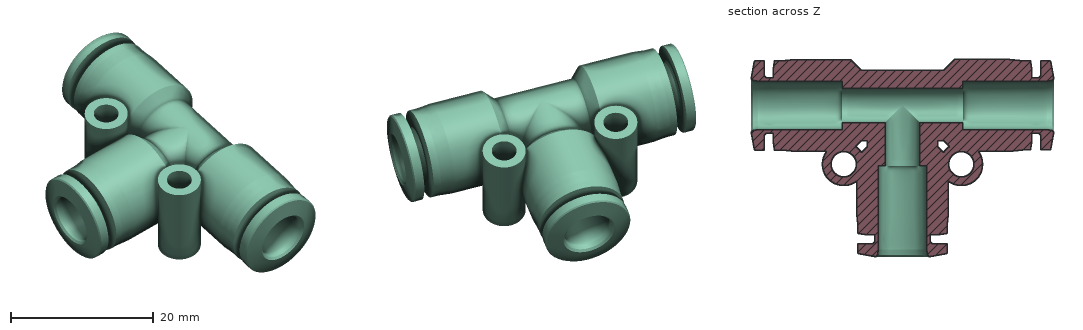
import cadquery as cq

port_reach = 21.3
body_radius = 6.495
core_radius = 5.0

shoulder_start = 5.8
shoulder_end = shoulder_start + body_radius - core_radius
taper_start = 15.0
taper_end = 16.95
body_rim_end = 18.0
body_end = 18.25
body_end_radius = 6.3
body_end_flat_radius = 4.95

collar_neck_radius = 3.95
collar_back = 19.43
collar_neck_chamfer = 0.25
collar_radius = 6.3
collar_rim_end = 20.87
collar_edge_setback = 0.15

flow_radius = 2.405
socket_radius = 3.35
socket_depth = 12.8
lead_in_radius = 3.5
lead_in_depth = 1.02
mouth_radius = 3.8

post_offset = 8.25
post_radius = 3.02
post_hole_radius = 1.75


def revolve_about_port_axis(profile):
    """Revolve (radius, distance) points about the axis of the port facing -Y."""
    points = [(radius, -distance) for radius, distance in profile]
    return cq.Workplane("XY").polyline(points).close().revolve(360, (0, 0, 0), (0, 1, 0))


def make_port():
    return revolve_about_port_axis([
        (0, 0),
        (core_radius, 0),
        (core_radius, shoulder_start),
        (body_radius, shoulder_end),
        (body_radius, taper_start),
        (body_end_radius, taper_end),
        (body_end_radius, body_rim_end),
        (body_end_flat_radius, body_end),
        (collar_neck_radius, body_end),
        (collar_neck_radius, collar_back - collar_neck_chamfer),
        (collar_neck_radius + collar_neck_chamfer, collar_back),
        (collar_radius, collar_back),
        (collar_radius, collar_rim_end - collar_edge_setback),
        (collar_radius - collar_edge_setback, collar_rim_end),
        (mouth_radius, port_reach),
        (0, port_reach),
    ])


def make_bore():
    mouth_chamfer = mouth_radius - lead_in_radius
    return revolve_about_port_axis([
        (0, 0),
        (flow_radius, 0),
        (flow_radius, port_reach - socket_depth),
        (socket_radius, port_reach - socket_depth),
        (socket_radius, port_reach - lead_in_depth),
        (lead_in_radius, port_reach - mouth_chamfer),
        (mouth_radius, port_reach),
        (0, port_reach),
    ])


def place_on_each_port(shape):
    """Copy a -Y facing shape to -Y, +X and -X and join the copies."""
    joined = shape
    for angle in (90, -90):
        joined = joined.union(shape.rotate((0, 0, 0), (0, 0, 1), angle))
    return joined


def make_posts(radius):
    return (
        cq.Workplane("XY", origin=(0, 0, -body_radius))
        .pushPoints([(-post_offset, -post_offset), (post_offset, -post_offset)])
        .circle(radius)
        .extrude(2 * body_radius)
    )


tee = place_on_each_port(make_port()).union(make_posts(post_radius))
result = tee.cut(place_on_each_port(make_bore())).cut(make_posts(post_hole_radius))